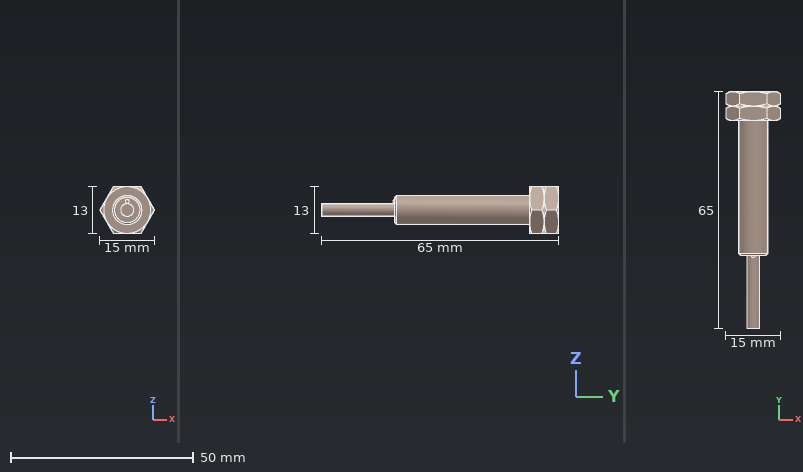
import cadquery as cq
import math

TOTAL_LENGTH = 65.0
ACROSS_FLATS = 13.0
NUT_STACK_LENGTH = 8.0
NUT_COUNT = 2
NUT_THICKNESS = NUT_STACK_LENGTH / NUT_COUNT
NUT_FACE_DIAMETER = 12.9
NUT_CHAMFER_ANGLE = 30.0
BODY_DIAMETER = 8.0
BODY_LENGTH = 45.0
BODY_CHAMFER = 0.5
ROD_DIAMETER = 3.5
BEAD_DIAMETER = 1.05
BEAD_HEIGHT = 2.4

ACROSS_CORNERS = ACROSS_FLATS / math.cos(math.radians(30))
BACK_Y = TOTAL_LENGTH / 2
BODY_END_Y = BACK_Y - BODY_LENGTH


def cylinder(diameter, length):
    """Cylinder from the back face toward -Y."""
    plane = cq.Workplane("XZ", origin=(0, BACK_Y, 0))
    return plane.circle(diameter / 2).extrude(length)


def nut(back_y):
    """Hexagonal nut with its corners coned off at both faces."""
    front_y = back_y - NUT_THICKNESS
    hexagon = cq.Workplane("XZ", origin=(0, back_y, 0)).polygon(6, ACROSS_CORNERS).extrude(NUT_THICKNESS)
    corner_radius = ACROSS_CORNERS / 2
    face_radius = NUT_FACE_DIAMETER / 2
    chamfer_depth = (corner_radius - face_radius) * math.tan(math.radians(NUT_CHAMFER_ANGLE))
    envelope_profile = [
        (0, front_y),
        (face_radius, front_y),
        (corner_radius, front_y + chamfer_depth),
        (corner_radius, back_y - chamfer_depth),
        (face_radius, back_y),
        (0, back_y),
    ]
    envelope = cq.Workplane("XY").polyline(envelope_profile).close().revolve(360, (0, 0, 0), (0, 1, 0))
    return hexagon.intersect(envelope)


body = cylinder(BODY_DIAMETER, BODY_LENGTH).faces("<Y").chamfer(BODY_CHAMFER)
result = body.union(cylinder(ROD_DIAMETER, TOTAL_LENGTH))

for index in range(NUT_COUNT):
    result = result.union(nut(BACK_Y - index * NUT_THICKNESS))

bead = cq.Workplane("XY").sphere(BEAD_DIAMETER / 2).translate((0, BODY_END_Y, BEAD_HEIGHT))
result = result.union(bead)